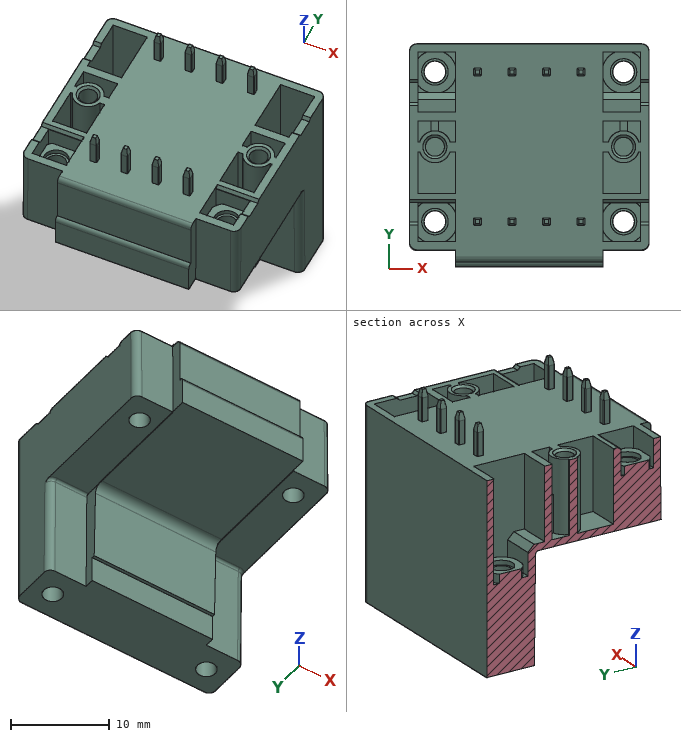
import cadquery as cq

width = 24.4
depth = 20.98
body_height = 21.9
back_y = depth / 2
front_y = -depth / 2
head_bottom = 12.65
head_draft = 0.08
leg_front_top = 4.57
leg_front_bottom = 4.7
outer_radius = 0.8
inner_corner_radius = 0.3

core_half = 7.52
core_underside = 12.75
nose_face = -11.73
lip_face = -12.22
lip_top = 16.3
nose_radius = 0.5
lip_radius = 0.45
pad_face_top = 3.02
pad_face_bottom = 3.28
pad_step_height = 3.2
pad_foot_face = 3.63
pad_root_radius = 1.02

wall = 0.86
bay_outer = width / 2 - wall
bay_width = bay_outer - core_half
bay_mid_x = (bay_outer + core_half) / 2
bay_floor = head_bottom + wall
rear_bay = (3.53, back_y - wall)
middle_bay = (-4.78, 2.62)
front_bay = (-5.75, front_y + wall)
leg_well_front = 5.54
leg_well_floor = 10.15
shelf_slope = 0.74
front_bay_floor = 18.65

screw_x = 9.6
screw_y = 7.62
screw_radius = 1.1
counterbore_radius = 1.35
counterbore_depth = 0.5
screw_boss_height = 1.02
rear_boss_radius = 2.18
front_boss_radius = 2.29

post_radius = 1.63
post_hole_radius = 0.97
post_hole_depth = 7.62
post_chamfer = 0.25
web_thickness = 1.02
rib_width = 0.75
rib_top = 17.78

notches = ((4.22, 6.85), (-7.98, -5.38))
notch_depth = 0.3

pin_width = 0.8
pin_corner_chamfer = 0.08
pin_height = 3.5
pin_tip_width = 0.4
pin_tip_height = 0.86
pin_pitch = 3.5
pins_per_row = 4


def block(x_range, y_range, z_range):
    """Axis-aligned box given by its limits, in either order."""
    ranges = (x_range, y_range, z_range)
    sizes = [abs(end - start) for start, end in ranges]
    corner = tuple(min(limits) for limits in ranges)
    return cq.Workplane("XY").box(*sizes, centered=False).translate(corner)


def cylinder(x, y, bottom, top, radius):
    return cq.Workplane("XY", origin=(x, y, bottom)).circle(radius).extrude(top - bottom)


def extrude_side_profile(points, total_width):
    """Extrude a closed (Y, Z) outline symmetrically along X."""
    return cq.Workplane("YZ").polyline(points).close().extrude(total_width / 2, both=True)


def make_envelope():
    """Full-height block with a slightly leaning front and rounded upright edges."""
    front_at_base = front_y - head_draft * body_height / (body_height - head_bottom)
    profile = [(back_y, 0), (back_y, body_height), (front_y, body_height), (front_at_base, 0)]
    return extrude_side_profile(profile, width).edges("not (|X or |Y)").fillet(outer_radius)


def make_leg():
    """Leg with a leaning front face and rounded front edges."""
    profile = [
        (back_y, 0),
        (back_y, head_bottom),
        (leg_front_top, head_bottom),
        (leg_front_bottom, 0),
    ]
    return extrude_side_profile(profile, width).edges("not (|X or |Y or |Z)").fillet(outer_radius)


def make_shell():
    """L-shaped housing, blended where the leg meets the underside of the head."""
    oversize = width
    margin = 0.25
    head = block((-oversize, oversize), (-oversize, back_y), (head_bottom, body_height))
    joint = cq.selectors.BoxSelector(
        (-width / 2 - margin, leg_front_top - margin, head_bottom - margin),
        (width / 2 + margin, back_y + margin, head_bottom + margin),
        boundingbox=True,
    )
    blended = head.union(make_leg()).edges(joint).fillet(inner_corner_radius)
    return blended.intersect(make_envelope())


def make_core():
    """Central block with a stepped nose at the front and a pad on the leg."""
    core = extrude_side_profile(
        [
            (back_y, 0),
            (back_y, body_height),
            (nose_face, body_height),
            (nose_face, lip_top),
            (lip_face, lip_top),
            (lip_face, core_underside),
            (pad_face_top, core_underside),
            (pad_face_bottom, pad_step_height),
            (pad_foot_face, pad_step_height),
            (pad_foot_face, 0),
        ],
        2 * core_half,
    )
    edge_radii = (
        (nose_face, body_height, nose_radius),
        (lip_face, lip_top, lip_radius),
        (pad_face_top, core_underside, pad_root_radius),
    )
    for y, z, radius in edge_radii:
        core = core.edges(cq.NearestToPointSelector((0, y, z))).fillet(radius)
    return core


def make_screw_boss(side, y, floor, radius, bay):
    """Raised disc around a screw, trimmed to the compartment it stands in."""
    top = floor + screw_boss_height
    boss = cylinder(side * screw_x, y, floor, top, radius)
    bay_space = block((side * core_half, side * bay_outer), bay, (floor, top))
    return boss.intersect(bay_space)


def cut_screw_hole(body, side, y, boss_top):
    x = side * screw_x
    body = body.cut(cylinder(x, y, 0, boss_top, screw_radius))
    return body.cut(cylinder(x, y, boss_top - counterbore_depth, boss_top, counterbore_radius))


def make_rear_bay(side):
    """Shelf over the head, with a sloped edge down into a well in the leg."""
    shelf_edge = leg_well_front - shelf_slope
    space = extrude_side_profile(
        [
            (rear_bay[1], body_height),
            (rear_bay[1], leg_well_floor),
            (leg_well_front, leg_well_floor),
            (leg_well_front, bay_floor - shelf_slope),
            (shelf_edge, bay_floor),
            (rear_bay[0], bay_floor),
            (rear_bay[0], body_height),
        ],
        bay_width,
    )
    return space.translate((side * bay_mid_x, 0, 0))


def make_middle_bay(side):
    """Compartment space around a post, its two side webs and its rear rib."""
    x = side * screw_x
    x_range = (side * core_half, side * bay_outer)
    space = block(x_range, middle_bay, (bay_floor, body_height))
    post = cylinder(x, 0, bay_floor, body_height, post_radius)
    web = block(x_range, (-web_thickness / 2, web_thickness / 2), (bay_floor, body_height))
    rib = block((x - rib_width / 2, x + rib_width / 2), (0, middle_bay[1]), (bay_floor, rib_top))
    return space.cut(post).cut(web).cut(rib)


def make_post_hole(side):
    """Blind hole with a chamfered mouth."""
    x = side * screw_x
    hole = cylinder(x, 0, body_height - post_hole_depth, body_height, post_hole_radius)
    mouth = (
        cq.Workplane("XY", origin=(x, 0, body_height))
        .circle(post_hole_radius + post_chamfer)
        .extrude(-post_chamfer, taper=45)
    )
    return hole.union(mouth)


def make_notch(side, start, end):
    """Shallow channel with 45 degree ends across a side wall."""
    bottom = body_height - notch_depth
    notch = extrude_side_profile(
        [
            (start, body_height),
            (start + notch_depth, bottom),
            (end - notch_depth, bottom),
            (end, body_height),
        ],
        width / 2 - core_half,
    )
    return notch.translate((side * (width / 2 + core_half) / 2, 0, 0))


def make_pin():
    """Square pin with broken corners and a tapered tip."""
    shaft_height = pin_height - pin_tip_height
    blank = (
        cq.Workplane("XY")
        .rect(pin_width, pin_width)
        .extrude(pin_height)
        .edges("|Z")
        .chamfer(pin_corner_chamfer)
    )
    envelope = (
        cq.Workplane("XY")
        .rect(pin_width, pin_width)
        .extrude(shaft_height)
        .faces(">Z")
        .workplane()
        .rect(pin_width, pin_width)
        .workplane(offset=pin_tip_height)
        .rect(pin_tip_width, pin_tip_width)
        .loft(combine=True)
    )
    return blank.intersect(envelope)


core = make_core()
core_band = block((-core_half, core_half), (back_y, lip_face), (0, body_height))
body = make_shell().cut(core_band).union(core)

for side in (-1, 1):
    body = body.cut(make_rear_bay(side))
    body = body.cut(make_middle_bay(side))
    bay_x = (side * core_half, side * bay_outer)
    body = body.cut(block(bay_x, front_bay, (front_bay_floor, body_height)))
    body = body.cut(make_post_hole(side))
    for start, end in notches:
        body = body.cut(make_notch(side, start, end))
    screws = (
        (screw_y, leg_well_floor, rear_boss_radius, (leg_well_front, rear_bay[1])),
        (-screw_y, front_bay_floor, front_boss_radius, front_bay),
    )
    for y, floor, boss_radius, bay in screws:
        body = body.union(make_screw_boss(side, y, floor, boss_radius, bay))
        body = cut_screw_hole(body, side, y, floor + screw_boss_height)

pin = make_pin()
for row_y in (-screw_y, screw_y):
    for index in range(pins_per_row):
        pin_x = (index - (pins_per_row - 1) / 2) * pin_pitch
        body = body.union(pin.translate((pin_x, row_y, body_height)))

result = body